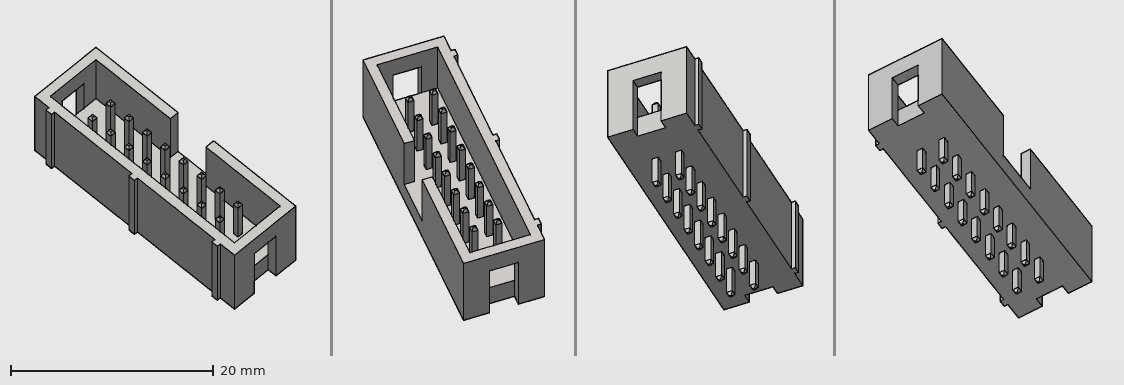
import cadquery as cq


length = 27.9
width = 8.6
height = 8.9
wall = 1.1
floor_thickness = 2.5

notch_width = 4.97

slot_width = 3.05
slot_top = 6.53

rib_width = 0.78
rib_depth = 0.42
rib_spacing = 11.58

columns = 8
rows = 2
pitch = 2.55
pin_size = 0.65
pin_bottom = -3.5
pin_top = 7.6
tip_length = 0.35
tip_size = 0.22

overlap = 0.28


def block(size_x, size_y, bottom, top, x=0.0, y=0.0):
    """Upright box centred on (x, y), between two heights."""
    return cq.Workplane("XY", origin=(x, y, bottom)).rect(size_x, size_y).extrude(top - bottom)


def pin_tip(x, y, base, direction):
    """Four-sided tapered tip; direction is +1 for up and -1 for down."""
    return (
        cq.Workplane("XY", origin=(x, y, base))
        .rect(pin_size, pin_size)
        .workplane(offset=direction * tip_length)
        .rect(tip_size, tip_size)
        .loft(combine=True)
    )


def pin(x, y):
    """Square pin with a tapered tip at both ends."""
    shaft_bottom = pin_bottom + tip_length
    shaft_top = pin_top - tip_length
    shaft = block(pin_size, pin_size, shaft_bottom, shaft_top, x, y)
    return shaft.union(pin_tip(x, y, shaft_top, 1)).union(pin_tip(x, y, shaft_bottom, -1))


def housing():
    """Open-topped box with the notch, the end slots and the outer ribs."""
    body = block(length, width, 0.0, height)
    body = body.cut(block(length - 2 * wall, width - 2 * wall, floor_thickness, height))

    notch_y = (width - wall) / 2
    body = body.cut(block(notch_width, wall, floor_thickness, height, 0.0, notch_y))

    slot_x = (length - wall) / 2
    for side in (-1, 1):
        body = body.cut(block(wall, slot_width, 0.0, slot_top, side * slot_x))

    rib_y = -width / 2 + (overlap - rib_depth) / 2
    for step in (-1, 0, 1):
        rib = block(rib_width, rib_depth + overlap, 0.0, height, step * rib_spacing, rib_y)
        body = body.union(rib)
    return body


result = housing()
for column in range(columns):
    for row in range(rows):
        pin_x = (column - (columns - 1) / 2) * pitch
        pin_y = (row - (rows - 1) / 2) * pitch
        result = result.union(pin(pin_x, pin_y))